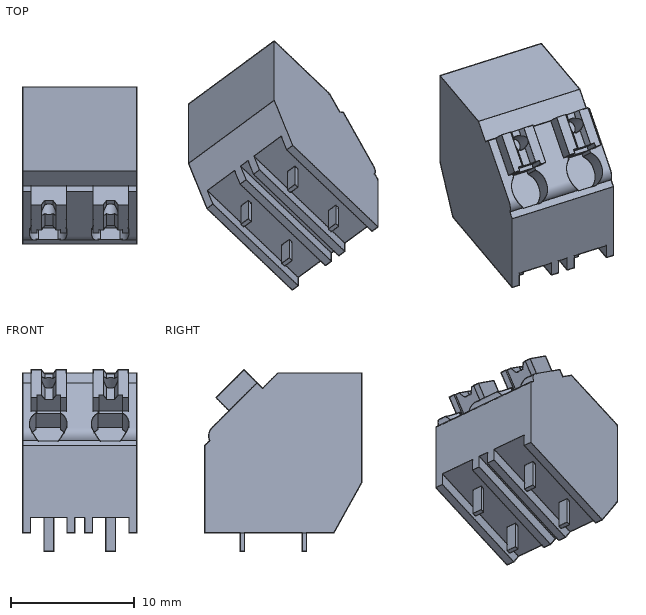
import cadquery as cq
import math


overall_height = 14.66
pole_pitch = 5.0
pole_count = 2
pole_width = 4.21
housing_depth = 12.7
housing_height = 12.9
housing_width = (pole_count - 1) * pole_pitch + pole_width

front_height = 7.04
front_ledge = 0.41
nose_top_z = 8.46
heel_y = 4.24
heel_z = 12.11
step_depth = 0.63
back_chamfer_depth = 2.26
back_chamfer_height = 4.08
diagonal = math.sqrt(0.5)

foot_width = 0.65
foot_height = 1.23

lever_width = 2.83
lever_length = 3.2
lever_rise = 1.5
lever_sink = 1.89
trough_depth = 0.5
trough_top_width = 1.2
trough_floor_width = 0.65
lever_hole_radius = 0.6
lever_hole_distance = 1.01
lever_hole_depth = 2.05
notch_width = 1.89
notch_length = 0.31
notch_depth = lever_rise + notch_length

wire_hole_width = 3.02
wire_hole_length = 3.2
wire_hole_distance = 4.68
wire_hole_depth = lever_sink
wire_hole_end = 6.05
wire_hole_neck_width = 1.98
wire_hole_shift = -0.05

pin_width = 0.8
pin_thickness = 0.35
front_pin_y = 3.05
pin_rows_y = (front_pin_y, front_pin_y + pole_pitch)
pin_bottom_z = heel_z + lever_rise * diagonal - overall_height

pole_starts = [i * pole_pitch for i in range(pole_count)]
pole_centres = [start + pole_width / 2 for start in pole_starts]


def wire_face(x):
    """Workplane on the wire face at its upper end; local Y climbs the slope, local Z points out."""
    return cq.Workplane(cq.Plane(origin=(x, heel_y, heel_z), xDir=(1, 0, 0), normal=(0, -1, 1)))


def slope_block(x, width, top, bottom, start, end):
    """Box on the wire face from height bottom to top, and from start to end down the slope."""
    return (
        wire_face(x)
        .workplane(offset=bottom)
        .center(0, -(start + end) / 2)
        .rect(width, end - start)
        .extrude(top - bottom)
    )


def make_housing_blank():
    step_y = heel_y + step_depth * diagonal
    step_z = heel_z - step_depth * diagonal
    top_edge_y = step_y + housing_height - step_z
    nose_top_y = heel_y - (heel_z - nose_top_z)
    return (
        cq.Workplane("YZ")
        .moveTo(0, 0)
        .lineTo(housing_depth - back_chamfer_depth, 0)
        .lineTo(housing_depth, back_chamfer_height)
        .lineTo(housing_depth, housing_height)
        .lineTo(top_edge_y, housing_height)
        .lineTo(step_y, step_z)
        .lineTo(heel_y, heel_z)
        .lineTo(nose_top_y, nose_top_z)
        .tangentArcPoint((front_ledge, front_height + front_ledge), relative=False)
        .lineTo(0, front_height)
        .close()
        .extrude(housing_width)
    )


def make_foot_gap(start, end):
    """Slot between two feet, open to the front and the back."""
    gap = cq.Workplane("XY").box(end - start, housing_depth, foot_height, centered=False)
    return gap.translate((start, 0, 0))


def make_wire_hole(pole_x):
    """Rounded blind hole with a flat lower wall and a neck that runs up to the lever."""
    x = pole_x + wire_hole_shift
    rounded = (
        wire_face(x)
        .center(0, -wire_hole_distance)
        .slot2D(wire_hole_length, wire_hole_width, angle=90)
        .extrude(wire_hole_depth, both=True)
    )
    limits = slope_block(
        x, wire_hole_width, wire_hole_depth, -wire_hole_depth, lever_length, wire_hole_end
    )
    neck = slope_block(
        x, wire_hole_neck_width, wire_hole_depth, -wire_hole_depth, lever_length, wire_hole_distance
    )
    return rounded.intersect(limits).union(neck)


def make_lever_block(pole_x):
    """Plain lever, which is also the shape of its pocket in the housing."""
    return slope_block(pole_x, lever_width, lever_rise, -lever_sink, 0, lever_length)


def make_housing():
    housing = make_housing_blank()
    for start, centre in zip(pole_starts, pole_centres):
        housing = housing.cut(make_foot_gap(start + foot_width, start + pole_width - foot_width))
        housing = housing.cut(make_wire_hole(centre))
        housing = housing.cut(make_lever_block(centre))
    for start in pole_starts[1:]:
        housing = housing.cut(make_foot_gap(start - (pole_pitch - pole_width), start))
    return housing


def make_lever(pole_x):
    """Lever with a flared trough along its top, a screwdriver hole and a notch in its lower end."""
    trough = (
        cq.Workplane(cq.Plane(origin=(pole_x, heel_y, heel_z), xDir=(1, 0, 0), normal=(0, -1, -1)))
        .polyline([
            (-trough_top_width / 2, lever_rise),
            (trough_top_width / 2, lever_rise),
            (trough_floor_width / 2, lever_rise - trough_depth),
            (-trough_floor_width / 2, lever_rise - trough_depth),
        ])
        .close()
        .extrude(lever_length)
    )
    hole = (
        wire_face(pole_x)
        .workplane(offset=lever_rise)
        .center(0, -lever_hole_distance)
        .circle(lever_hole_radius)
        .extrude(-lever_hole_depth)
    )
    notch = slope_block(
        pole_x, notch_width, lever_rise, lever_rise - notch_depth,
        lever_length - notch_length, lever_length,
    )
    return make_lever_block(pole_x).cut(trough).cut(hole).cut(notch)


def make_pin(pole_x, row_y):
    """Flat pin that hangs from the underside of the housing."""
    return (
        cq.Workplane("XY", origin=(pole_x, row_y, pin_bottom_z))
        .rect(pin_width, pin_thickness)
        .extrude(foot_height - pin_bottom_z)
    )


housing = make_housing()
levers = [make_lever(x) for x in pole_centres]
pins = [make_pin(x, y) for x in pole_centres for y in pin_rows_y]

result = cq.Compound.makeCompound([
    housing.solids().val(),
    *[lever.solids().val() for lever in levers],
    *[pin.val() for pin in pins],
])